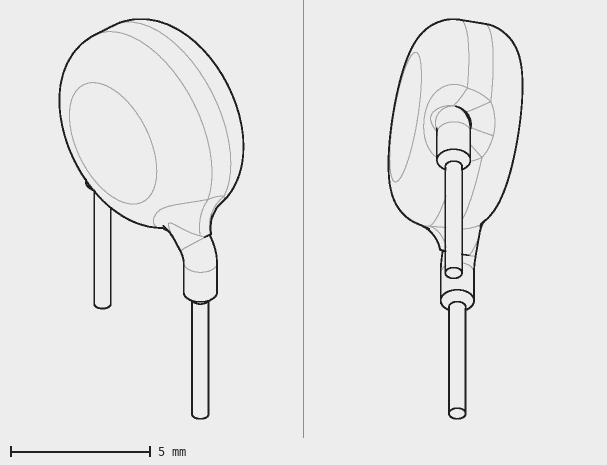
import cadquery as cq
import math

body_diameter = 7.5
body_thickness = 3.7
body_edge_radius = 1.4

lead_pitch_x = 7.5
lead_pitch_y = 2.0
lead_diameter = 0.6
lead_length = 5.0

sleeve_diameter = 1.2
sleeve_straight_length = 1.3
sleeve_bend_radius = 1.0
bend_angle = math.radians(45)
root_depth = 2.0
root_overrun = 1.0
root_trim_radius = sleeve_diameter
root_trim_length = 2 * root_overrun
root_fillet_radius = body_edge_radius

overall_height = 14.0
body_center_z = overall_height - lead_length - body_diameter / 2
taper_height = (sleeve_diameter - lead_diameter) / 2
bend_start_z = taper_height + sleeve_straight_length

leg_x = lead_pitch_x / 2
leg_y = -lead_pitch_y / 2
bend_center_x = leg_x - sleeve_bend_radius
bend_end_x = bend_center_x + sleeve_bend_radius * math.cos(bend_angle)
bend_end_z = bend_start_z + sleeve_bend_radius * math.sin(bend_angle)


def make_body():
    """Disc with fully rounded shoulders on both faces."""
    disc = (
        cq.Workplane("XZ", origin=(0, body_thickness / 2, body_center_z))
        .circle(body_diameter / 2)
        .extrude(body_thickness)
    )
    return disc.edges().fillet(body_edge_radius)


def make_sleeve():
    """Bent sleeve of the right-hand leg, from its taper to the end of the bend."""
    half_bend = bend_angle / 2
    bend_mid = (
        bend_center_x + sleeve_bend_radius * math.cos(half_bend),
        bend_start_z + sleeve_bend_radius * math.sin(half_bend),
    )
    path = (
        cq.Workplane("XZ", origin=(0, leg_y, 0))
        .moveTo(leg_x, taper_height)
        .lineTo(leg_x, bend_start_z)
        .threePointArc(bend_mid, (bend_end_x, bend_end_z))
    )
    return (
        cq.Workplane("XY", origin=(leg_x, leg_y, taper_height))
        .circle(sleeve_diameter / 2)
        .sweep(path)
    )


def bend_end_plane():
    """Plane across the sleeve at the end of its bend, facing into the body."""
    return cq.Plane(
        origin=(bend_end_x, leg_y, bend_end_z),
        xDir=(0, 1, 0),
        normal=(-math.sin(bend_angle), 0, math.cos(bend_angle)),
    )


def make_root():
    """Straight sleeve run into the body, overlong at its outer end for blending."""
    return (
        cq.Workplane(bend_end_plane())
        .workplane(offset=-root_overrun)
        .circle(sleeve_diameter / 2)
        .extrude(root_overrun + root_depth)
    )


def make_root_trim():
    """Cutter for the overlong outer end of the root, back to the end of the bend."""
    return cq.Workplane(bend_end_plane()).circle(root_trim_radius).extrude(-root_trim_length)


def make_lead():
    """Bare lead of the right-hand leg with the tapered sleeve end on top."""
    lead = (
        cq.Workplane("XY", origin=(leg_x, leg_y, -lead_length))
        .circle(lead_diameter / 2)
        .extrude(lead_length)
    )
    taper = cq.Workplane(
        cq.Solid.makeCone(
            lead_diameter / 2,
            sleeve_diameter / 2,
            taper_height,
            pnt=cq.Vector(leg_x, leg_y, 0),
        )
    )
    return lead.union(taper)


def both_legs(shape):
    """The right-hand shape and its copy for the left leg, half a turn about Z."""
    return shape, shape.rotate((0, 0, 0), (0, 0, 1), 180)


def make_rooted_body():
    """Body with a blended stub at each leg, cut square where the bend ends."""
    body = make_body()
    for root in both_legs(make_root()):
        body = body.union(root)
    body = body.edges("%BSPLINE").fillet(root_fillet_radius)
    for trim in both_legs(make_root_trim()):
        body = body.cut(trim)
    return body


result = make_rooted_body()
for leg in both_legs(make_sleeve().union(make_lead())):
    result = result.union(leg)